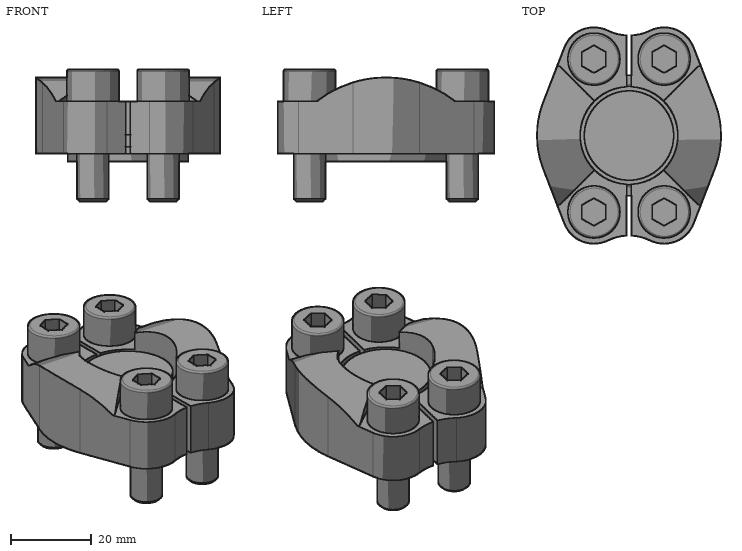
import cadquery as cq
import math

width = 45.95
side_radius = width / 2
length = 54
ear_radius = 7.95
ear_y = length / 2 - ear_radius
ear_x = 8.75
waist_radius = 12.0
plate_height = 13.0
hump_height = 19.0
hump_radius = 28.0
clamp_bore = 24.35
slit_width = 1.2

disc_diameter = 30.1
disc_thickness = 2.0
tube_diameter = 22.3
tube_fillet = 1.7
collar_diameter = 24.5
collar_top = 4.75

shank_diameter = 8.0
shank_bottom = -12.0
shank_chamfer = 0.75
head_diameter = 13.0
head_height = 8.0
head_fillet = 0.5
socket_width = 6.0
socket_depth = 4.0

ear_centres = [(sx * ear_x, sy * ear_y) for sx in (1, -1) for sy in (1, -1)]


def clamp_outline():
    """Closed outline of both halves: side arcs, tangent flanks, ears and waist hollows."""
    flank = math.atan2(ear_y, ear_x) - math.acos((side_radius - ear_radius) / math.hypot(ear_x, ear_y))
    waist = math.acos(-ear_x / (ear_radius + waist_radius))
    waist_centre_y = ear_y + (ear_radius + waist_radius) * math.sin(waist)

    def on_ear(angle):
        return ear_x + ear_radius * math.cos(angle), ear_y + ear_radius * math.sin(angle)

    def at_left(point):
        return -point[0], point[1]

    def at_front(point):
        return point[0], -point[1]

    def turned(point):
        return -point[0], -point[1]

    side_end = (side_radius * math.cos(flank), side_radius * math.sin(flank))
    ear_start = on_ear(flank)
    ear_middle = on_ear((flank + waist) / 2)
    ear_end = on_ear(waist)
    waist_middle = (0, waist_centre_y - waist_radius)

    return (
        cq.Workplane("XY")
        .moveTo(*at_front(side_end))
        .threePointArc((side_radius, 0), side_end)
        .lineTo(*ear_start)
        .threePointArc(ear_middle, ear_end)
        .threePointArc(waist_middle, at_left(ear_end))
        .threePointArc(at_left(ear_middle), at_left(ear_start))
        .lineTo(*at_left(side_end))
        .threePointArc((-side_radius, 0), turned(side_end))
        .lineTo(*turned(ear_start))
        .threePointArc(turned(ear_middle), turned(ear_end))
        .threePointArc(at_front(waist_middle), at_front(ear_end))
        .threePointArc(at_front(ear_middle), at_front(ear_start))
        .close()
    )


def make_clamp():
    """Flat plate with a crowned hump at its left and right, bored and slit into two halves."""
    plate = clamp_outline().extrude(plate_height)
    crown = (
        cq.Workplane("YZ")
        .center(0, hump_height - hump_radius)
        .circle(hump_radius)
        .extrude(side_radius, both=True)
    )
    wedges = (
        cq.Workplane("XY")
        .polyline([(0, 0), (side_radius, side_radius), (side_radius, -side_radius)])
        .close()
        .extrude(hump_height)
    )
    wedges = wedges.union(wedges.rotate((0, 0, 0), (0, 0, 1), 180))
    humps = clamp_outline().extrude(hump_height).intersect(crown).intersect(wedges)
    bore = cq.Workplane("XY").circle(clamp_bore / 2).extrude(hump_height)
    slit = cq.Workplane("XY").box(slit_width, length, plate_height, centered=(True, True, False))
    return plate.union(humps).cut(bore).cut(slit)


def make_flange():
    """Disc and tube joined by a fillet, with a collar that locates the clamp halves."""
    tube_radius = tube_diameter / 2
    fillet_middle = tube_fillet * (1 - math.sqrt(0.5))
    return (
        cq.Workplane("XZ")
        .moveTo(0, -disc_thickness)
        .lineTo(disc_diameter / 2, -disc_thickness)
        .lineTo(disc_diameter / 2, 0)
        .lineTo(tube_radius + tube_fillet, 0)
        .threePointArc((tube_radius + fillet_middle, fillet_middle), (tube_radius, tube_fillet))
        .lineTo(collar_diameter / 2, tube_fillet)
        .lineTo(collar_diameter / 2, collar_top)
        .lineTo(tube_radius, collar_top)
        .lineTo(tube_radius, plate_height)
        .lineTo(0, plate_height)
        .close()
        .revolve(360, (0, 0, 0), (0, 1, 0))
    )


def make_screw():
    """Socket head screw on the Z axis, its head resting on the plate."""
    shank = (
        cq.Workplane("XY", origin=(0, 0, shank_bottom))
        .circle(shank_diameter / 2)
        .extrude(plate_height - shank_bottom)
        .faces("<Z")
        .chamfer(shank_chamfer)
    )
    head = (
        cq.Workplane("XY", origin=(0, 0, plate_height))
        .circle(head_diameter / 2)
        .extrude(head_height)
        .faces(">Z")
        .fillet(head_fillet)
    )
    socket = (
        cq.Workplane("XY", origin=(0, 0, plate_height + head_height))
        .polygon(6, socket_width / math.cos(math.pi / 6))
        .extrude(-socket_depth)
        .rotate((0, 0, 0), (0, 0, 1), 30)
    )
    return shank.union(head).cut(socket)


result = make_clamp().union(make_flange())
for x, y in ear_centres:
    result = result.union(make_screw().translate((x, y, 0)))